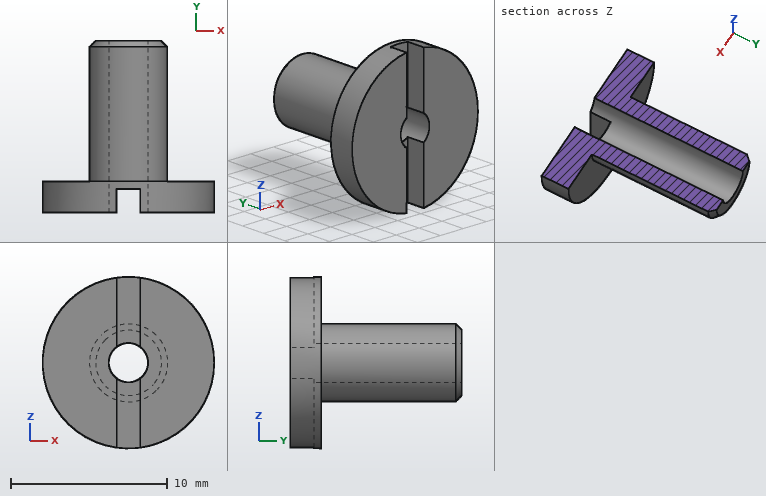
import cadquery as cq

head_diameter = 11.0
head_thickness = 2.0
shank_diameter = 5.0
overall_length = 11.0
tip_chamfer = 0.4
bore_diameter = 2.5
slot_width = 1.5
slot_depth = 1.5


def cylinder_along_y(diameter, start_y, end_y):
    """Solid cylinder on the Y axis between two Y positions."""
    return (
        cq.Workplane("XZ", origin=(0, start_y, 0))
        .circle(diameter / 2)
        .extrude(start_y - end_y)
    )


def make_head():
    return cylinder_along_y(head_diameter, 0, head_thickness)


def make_shank():
    shank = cylinder_along_y(shank_diameter, 0, overall_length)
    return shank.faces(">Y").chamfer(tip_chamfer)


def make_bore():
    return cylinder_along_y(bore_diameter, 0, overall_length)


def make_driver_slot():
    """Slot across the full head face, running along Z."""
    return cq.Workplane("XY").box(
        slot_width, slot_depth, head_diameter, centered=(True, False, True)
    )


result = make_head().union(make_shank()).cut(make_bore()).cut(make_driver_slot())